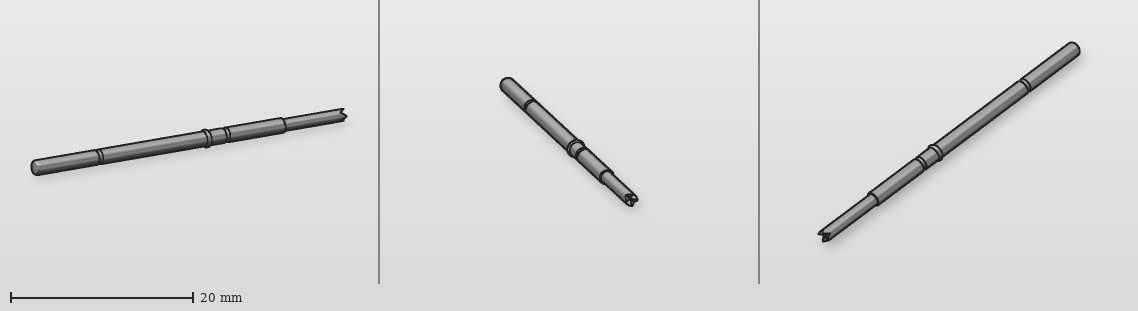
import cadquery as cq
import math

total_length = 40.0
barrel_length = 32.0
barrel_radius = 0.85
plunger_radius = 0.7
tail_round = 0.4

ring_radius = 1.0
ring_center = 22.2
ring_width = 0.55

groove_centers = (8.2, 24.65)
groove_width = 0.5
groove_depth = 0.15

crown_depth = 0.7
notch_directions = (45, 135)


def barrel():
    """Barrel profile revolved about Y, with rounded tail, crimp grooves and press ring."""
    arc_mid = tail_round * math.sqrt(0.5)
    round_start = barrel_radius - tail_round
    profile = (
        cq.Workplane("XY")
        .lineTo(round_start, 0)
        .threePointArc((round_start + arc_mid, tail_round - arc_mid), (barrel_radius, tail_round))
    )
    lower_groove, upper_groove = groove_centers
    profile = add_groove(profile, lower_groove)
    profile = add_ring(profile)
    profile = add_groove(profile, upper_groove)
    profile = profile.lineTo(barrel_radius, barrel_length).lineTo(0, barrel_length).close()
    return profile.revolve(360, (0, 0, 0), (0, 1, 0))


def add_groove(profile, center):
    """Continue the profile through one round-bottomed groove."""
    return profile.lineTo(barrel_radius, center - groove_width / 2).threePointArc(
        (barrel_radius - groove_depth, center),
        (barrel_radius, center + groove_width / 2),
    )


def add_ring(profile):
    """Continue the profile over the rounded press ring."""
    return profile.lineTo(barrel_radius, ring_center - ring_width / 2).threePointArc(
        (ring_radius, ring_center),
        (barrel_radius, ring_center + ring_width / 2),
    )


def plunger():
    """Plunger rod with two crossing V notches that leave four pointed tips."""
    rod = (
        cq.Workplane("XZ", origin=(0, barrel_length, 0))
        .circle(plunger_radius)
        .extrude(barrel_length - total_length)
    )
    tip_offset = plunger_radius * math.sqrt(0.5)
    overcut = 2
    notch = (
        cq.Workplane("XY")
        .moveTo(0, total_length - crown_depth)
        .lineTo(tip_offset * overcut, total_length + crown_depth * (overcut - 1))
        .lineTo(-tip_offset * overcut, total_length + crown_depth * (overcut - 1))
        .close()
        .extrude(overcut * plunger_radius, both=True)
    )
    for direction in notch_directions:
        rod = rod.cut(notch.rotate((0, 0, 0), (0, 1, 0), direction))
    return rod


result = barrel().union(plunger())